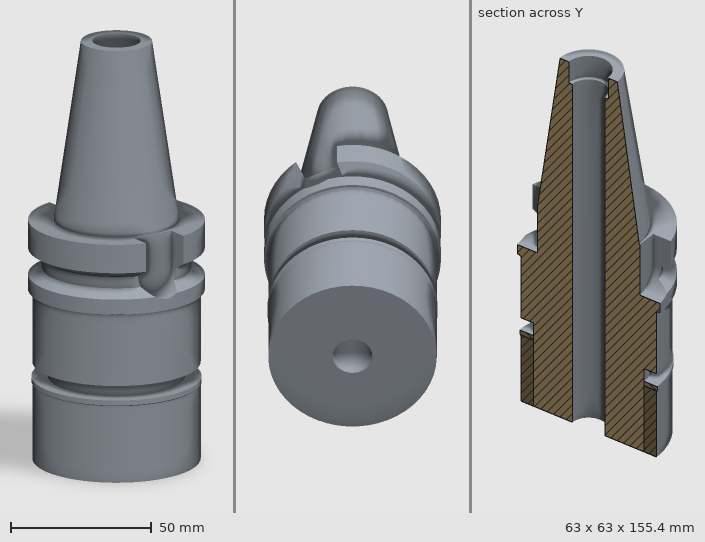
import cadquery as cq
import math


gauge_dia = 44.45
taper_length = 65.4
taper_ratio = 7 / 24
taper_tip_dia = gauge_dia - taper_length * taper_ratio

flange_dia = 63.0
flange_top_z = -1.0
flange_bottom_z = -27.0
groove_floor_dia = 53.4
groove_center_z = -16.5
groove_mouth_width = 9.8
groove_flank_angle = 30.0
groove_depth = (flange_dia - groove_floor_dia) / 2
groove_flank_height = groove_depth * math.tan(math.radians(groove_flank_angle))
groove_mouth_half = groove_mouth_width / 2
groove_floor_half = groove_mouth_half - groove_flank_height

slot_width = 16.1
slot_wall_x = 22.6
slot_bottom_z = -22.8
slot_round_z = slot_bottom_z + slot_width / 2

bore_dia = 14.2
pilot_dia = 17.2
pilot_depth = 9.1

body_dia = 60.0
body_bottom_z = -54.0
root_slope = 0.5

neck_dia = 49.0
nose_z = -90.0

nut_dia = body_dia
ring_dia = 60.7
ring_top_z = -59.3
ring_bottom_z = -61.5
ring_slope = (ring_dia - nut_dia) / 2


def disc(diameter, bottom_z, top_z):
    """Solid cylinder on the Z axis between two heights."""
    return cq.Workplane("XY").workplane(offset=bottom_z).circle(diameter / 2).extrude(top_z - bottom_z)


def make_holder():
    """Taper, flange, body and neck, turned in one piece."""
    body_r = body_dia / 2
    flange_r = flange_dia / 2
    gauge_r = gauge_dia / 2
    neck_r = neck_dia / 2
    floor_r = groove_floor_dia / 2
    turned = (
        cq.Workplane("XZ")
        .moveTo(0, nose_z)
        .lineTo(neck_r, nose_z)
        .lineTo(neck_r, body_bottom_z)
        .lineTo(body_r, body_bottom_z)
        .lineTo(body_r, flange_bottom_z - root_slope)
        .lineTo(body_r + root_slope, flange_bottom_z)
        .lineTo(flange_r, flange_bottom_z)
        .lineTo(flange_r, groove_center_z - groove_mouth_half)
        .lineTo(floor_r, groove_center_z - groove_floor_half)
        .lineTo(floor_r, groove_center_z + groove_floor_half)
        .lineTo(flange_r, groove_center_z + groove_mouth_half)
        .lineTo(flange_r, flange_top_z)
        .lineTo(gauge_r, flange_top_z)
        .lineTo(gauge_r, 0)
        .lineTo(taper_tip_dia / 2, taper_length)
        .lineTo(0, taper_length)
        .close()
        .revolve(360, (0, 0, 0), (0, 1, 0))
    )
    bore = disc(bore_dia, nose_z, taper_length)
    pilot = disc(pilot_dia, taper_length - pilot_depth, taper_length)
    turned = turned.cut(bore).cut(pilot)
    for side in (-1, 1):
        turned = turned.cut(driving_slot(side))
    return turned


def driving_slot(side):
    """Round-bottomed slot, open at the top and outer side of the flange."""
    half_width = slot_width / 2
    return (
        cq.Workplane("YZ")
        .workplane(offset=side * slot_wall_x)
        .moveTo(-half_width, flange_top_z)
        .lineTo(-half_width, slot_round_z)
        .threePointArc((0, slot_bottom_z), (half_width, slot_round_z))
        .lineTo(half_width, flange_top_z)
        .close()
        .extrude(side * (flange_dia / 2 - slot_wall_x))
    )


def make_ring():
    """Thin ring around the neck, resting on the nut."""
    ring = disc(ring_dia, ring_bottom_z, ring_top_z).faces("<Z").chamfer(ring_slope)
    return ring.cut(disc(neck_dia, ring_bottom_z, ring_top_z))


def make_nut():
    """Plain clamping nut around the nose."""
    return disc(nut_dia, nose_z, ring_bottom_z).cut(disc(neck_dia, nose_z, ring_bottom_z))


holder = make_holder()
ring = make_ring()
nut = make_nut()

result = cq.Compound.makeCompound([holder.val(), ring.val(), nut.val()])